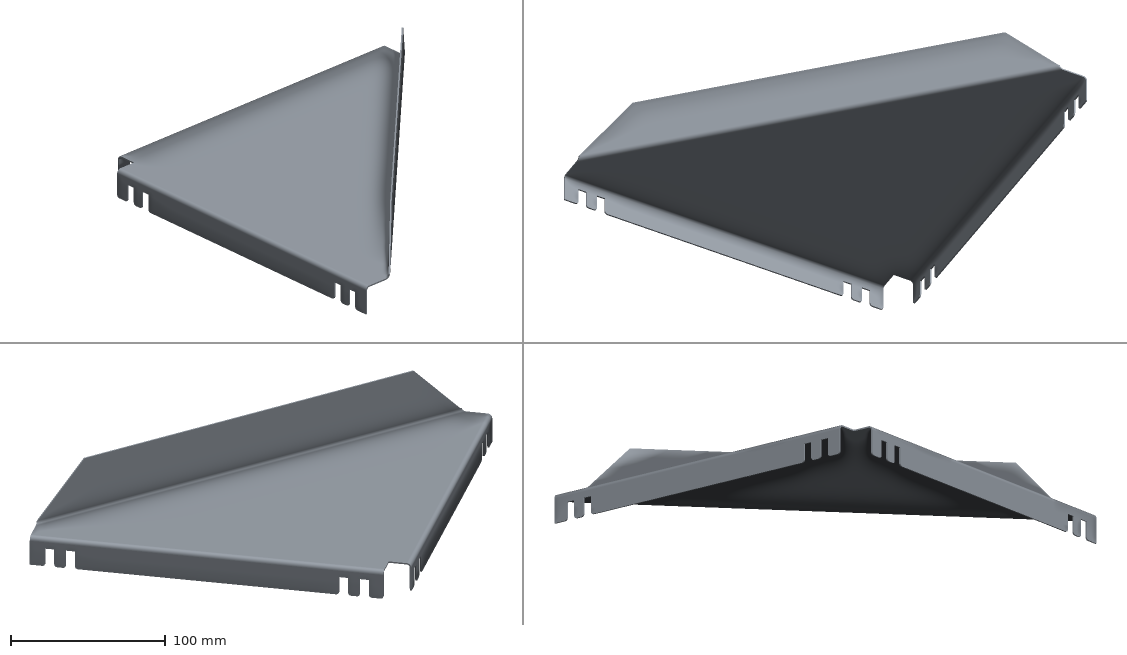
import cadquery as cq
import math

side = 249.8
height = 57.7
sheet = 1.0
plate_top = 20.0
inner_radius = 2.0
outer_radius = inner_radius + sheet
corner_notch = 15.0
short_edge = 21.5

slot_width = 6.0
slot_depth = 12.5
slot_pitch = 13.7
slot_count = 2
notch_end_offset = 12.7
far_end_offset = 13.2
tip_radius = 2.0
end_slope = 1.0

cos_45 = math.sqrt(0.5)
flange_length = side - corner_notch
plate_bottom = plate_top - sheet
lower_bend_z = plate_top - outer_radius
upper_bend_z = plate_top + inner_radius
diagonal_length = math.sqrt(2) * (side - short_edge)
diagonal_middle = (side + short_edge) / 2
symmetry_normal = cq.Vector(1, -1, 0)


def make_plate():
    """Flat plate between the tangent lines of the three bends."""
    diagonal_start = short_edge - math.sqrt(2) * outer_radius
    outline = [
        (corner_notch, corner_notch),
        (corner_notch, outer_radius),
        (side, outer_radius),
        (side, diagonal_start),
        (diagonal_start, side),
        (outer_radius, side),
        (outer_radius, corner_notch),
    ]
    return cq.Workplane("XY").workplane(offset=plate_bottom).polyline(outline).close().extrude(sheet)


def make_slot(center_x):
    """Cutter for one open-ended slot through the front flange."""
    return cq.Workplane("XY").box(
        slot_width, outer_radius, slot_depth, centered=(True, False, False)
    ).translate((center_x, 0, 0))


def make_lower_flange():
    """Front flange, bent down from the plate and slotted near both ends."""
    outer_mid = outer_radius * (1 - cos_45)
    inner_mid = outer_radius - inner_radius * cos_45
    flange = (
        cq.Workplane("YZ").workplane(offset=corner_notch)
        .moveTo(0, 0)
        .lineTo(0, lower_bend_z)
        .threePointArc((outer_mid, plate_top - outer_mid), (outer_radius, plate_top))
        .lineTo(outer_radius, plate_bottom)
        .threePointArc((inner_mid, plate_top - inner_mid), (sheet, lower_bend_z))
        .lineTo(sheet, 0)
        .close()
        .extrude(flange_length)
    )
    for index in range(slot_count):
        shift = index * slot_pitch
        flange = flange.cut(make_slot(corner_notch + notch_end_offset + shift))
        flange = flange.cut(make_slot(side - far_end_offset - shift))

    rounded = flange.edges("|Y").edges(
        cq.selectors.BoxSelector((0, -sheet, -sheet), (side - sheet, outer_radius, sheet))
    )
    return rounded.fillet(tip_radius)


def make_upright_wall():
    """Wall bent up along the diagonal, with sloping ends above its bend."""
    outer_mid = outer_radius * cos_45
    inner_mid = inner_radius * cos_45
    section_plane = cq.Plane(origin=(diagonal_middle, diagonal_middle, 0), xDir=(1, 1, 0), normal=(1, -1, 0))
    wall = (
        cq.Workplane(section_plane)
        .moveTo(-outer_radius, plate_bottom)
        .threePointArc((outer_mid - outer_radius, upper_bend_z - outer_mid), (0, upper_bend_z))
        .lineTo(0, height)
        .lineTo(-sheet, height)
        .lineTo(-sheet, upper_bend_z)
        .threePointArc((inner_mid - outer_radius, upper_bend_z - inner_mid), (-outer_radius, plate_top))
        .close()
        .extrude(diagonal_length, both=True)
    )

    wall = wall.intersect(cq.Workplane("XY").box(side, side, height, centered=False))
    half_base = diagonal_length / 2 + outer_radius
    half_bend = diagonal_length / 2
    half_top = half_bend - end_slope * (height - upper_bend_z)
    face_plane = cq.Plane(origin=(diagonal_middle, diagonal_middle, 0), xDir=(-1, 1, 0), normal=(1, 1, 0))
    face_outline = [
        (-half_base, 0),
        (half_base, 0),
        (half_base, upper_bend_z),
        (half_bend, upper_bend_z),
        (half_top, height),
        (-half_top, height),
        (-half_bend, upper_bend_z),
        (-half_base, upper_bend_z),
    ]
    face = cq.Workplane(face_plane).polyline(face_outline).close().extrude(2 * outer_radius, both=True)
    return wall.intersect(face)


front_flange = make_lower_flange()
left_flange = front_flange.mirror(symmetry_normal)
result = make_plate().union(front_flange).union(left_flange).union(make_upright_wall())